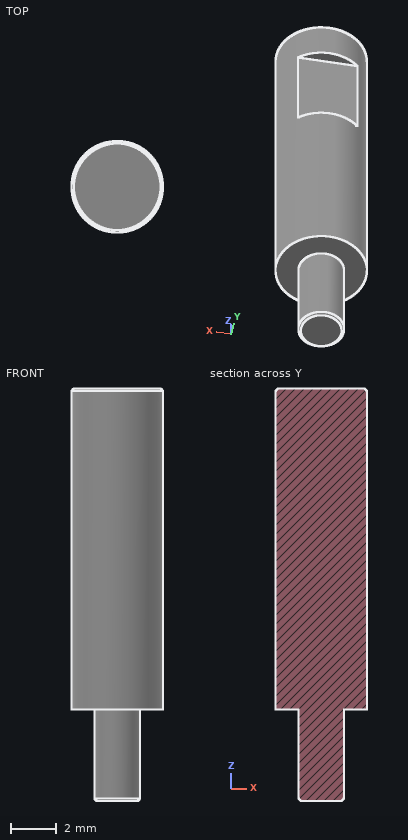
import cadquery as cq

total_length = 18
body_diameter = 4.0
pin_diameter = body_diameter / 2
pin_length = 4.0
edge_chamfer = 0.1

flat_depth = 0.5
flat_height = 4.0
flat_below_top = 1.8

body_length = total_length - pin_length


def make_pin():
    pin = cq.Workplane("XY").circle(pin_diameter / 2).extrude(pin_length)
    return pin.faces("<Z").edges().chamfer(edge_chamfer)


def make_body():
    body = (
        cq.Workplane("XY")
        .workplane(offset=pin_length)
        .circle(body_diameter / 2)
        .extrude(body_length)
    )
    return body.faces(">Z").edges().chamfer(edge_chamfer)


def make_flat_cutter():
    flat_bottom = total_length - flat_below_top - flat_height
    return (
        cq.Workplane("XY")
        .box(body_diameter, body_diameter, flat_height, centered=(True, False, False))
        .translate((0, body_diameter / 2 - flat_depth, flat_bottom))
    )


result = make_pin().union(make_body()).cut(make_flat_cutter())